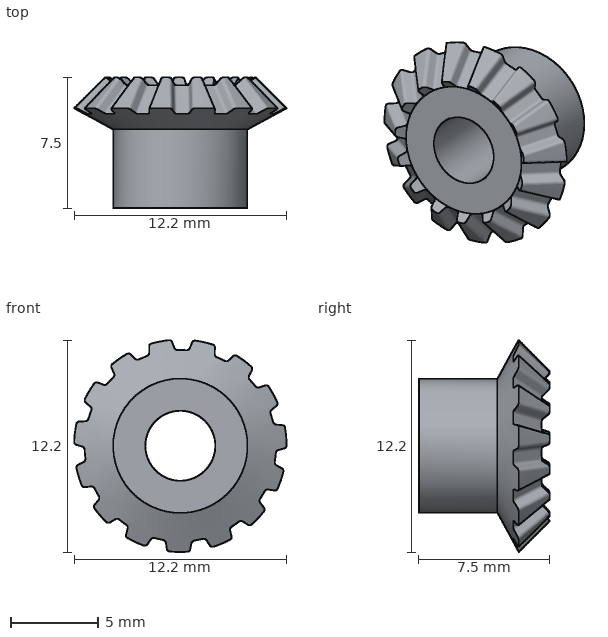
import cadquery as cq
import math

bore_diameter = 4.0
hub_diameter = 7.7
hub_length = 4.5
total_length = 7.5
tip_radius = 6.1
rim_height = 5.72

tooth_count = 15
face_angle = 45.0
tooth_depth = 0.66
floor_width = 0.78
flank_angle = 20.0
root_fillet = 0.2
tip_fillet = 0.2
first_slot_turn = 1.0

face_sin = math.sin(math.radians(face_angle))
face_cos = math.cos(math.radians(face_angle))
inner_tip_radius = tip_radius - (total_length - rim_height) * face_sin / face_cos
inner_floor_radius = inner_tip_radius - tooth_depth * face_cos
inner_floor_height = total_length - tooth_depth * face_sin

axis_start = (0, 0, 0)
axis_end = (0, 1, 0)


def make_blank():
    """Turned body with the sharp-rimmed head and the through bore."""
    bore_radius = bore_diameter / 2
    hub_radius = hub_diameter / 2
    half_section = [
        (bore_radius, 0),
        (hub_radius, 0),
        (hub_radius, hub_length),
        (tip_radius, rim_height),
        (inner_tip_radius, total_length),
        (inner_floor_radius, inner_floor_height),
        (bore_radius, inner_floor_height),
    ]
    return cq.Workplane("ZY").polyline(half_section).close().revolve(360, axis_start, axis_end)


def make_slot_cutter():
    """Trapezoid bar with rounded floor corners, lying along the tip cone on the +Z side."""
    cutter_height = 2 * tooth_depth
    half_floor = floor_width / 2
    half_top = half_floor + cutter_height * math.tan(math.radians(flank_angle))
    section = [
        (-half_floor, -tooth_depth),
        (half_floor, -tooth_depth),
        (half_top, cutter_height - tooth_depth),
        (-half_top, cutter_height - tooth_depth),
    ]
    slot_plane = cq.Plane(
        origin=(0, rim_height, tip_radius),
        xDir=(1, 0, 0),
        normal=(0, -face_cos, face_sin),
    )
    reach = tip_radius / 2
    bar = cq.Workplane(slot_plane).polyline(section).close().extrude(reach, both=True)
    floor_side = cq.selectors.DirectionMinMaxSelector(slot_plane.yDir, False)
    along_slot = cq.selectors.ParallelDirSelector(slot_plane.zDir)
    return bar.faces(floor_side).edges(along_slot).fillet(root_fillet)


def cut_slots(blank):
    """Cut the ring of slots that leaves the teeth standing."""
    cutter = make_slot_cutter()
    for index in range(tooth_count):
        blank = blank.cut(cutter.rotate(axis_start, axis_end, index * 360 / tooth_count))
    return blank


def on_tip_cone(face):
    """True for the outer land of a tooth."""
    center = face.Center()
    return center.y > rim_height and math.hypot(center.x, center.z) > inner_tip_radius


def runs_along_tooth(edge):
    """True for an edge centred between the rim and the inner end of the teeth."""
    end_margin = 0.12
    return rim_height + end_margin < edge.Center().y < total_length - end_margin


def round_tooth_tips(gear):
    """Round the long edges where the slot walls meet the tip cone."""
    tip_lands = gear.faces("%CONE").filter(on_tip_cone)
    return tip_lands.edges().filter(runs_along_tooth).fillet(tip_fillet)


gear = round_tooth_tips(cut_slots(make_blank()))
result = gear.rotate(axis_start, axis_end, first_slot_turn)